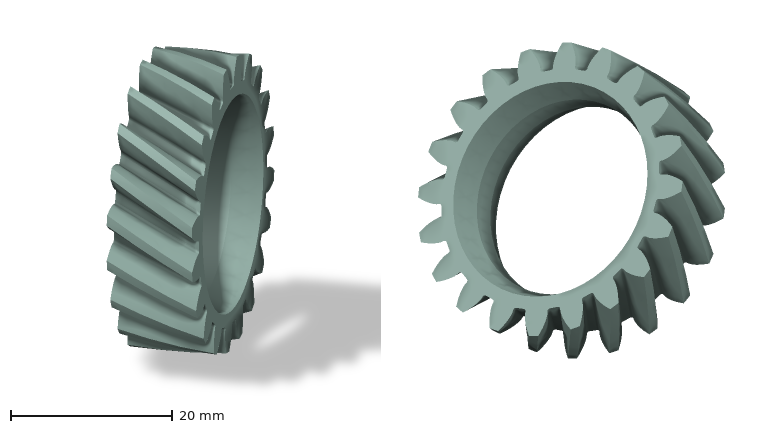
import cadquery as cq
import math

TEETH = 20
WIDTH = 11.0
OUTER_RADIUS = 18.82
PITCH_RADIUS = 17.3
ROOT_RADIUS = 15.45
ROOT_FILLET = 0.35
HELIX_ANGLE = 28.6
NORMAL_PRESSURE_ANGLE = 20.0

BORE_RADIUS = 12.5
MOUTH_RADIUS = 13.78
MOUTH_DEPTH = 3.75

FLANK_STEPS = 5
CUTTER_MARGIN = 0.38

pressure_angle = math.atan(
    math.tan(math.radians(NORMAL_PRESSURE_ANGLE)) / math.cos(math.radians(HELIX_ANGLE))
)
base_radius = PITCH_RADIUS * math.cos(pressure_angle)
pitch_half_gap = math.pi / (2 * TEETH)
twist_angle = math.degrees(WIDTH * math.tan(math.radians(HELIX_ANGLE)) / PITCH_RADIUS)


def involute(angle):
    return math.tan(angle) - angle


def half_gap(radius):
    """Half the angle between two facing involute flanks at the given radius."""
    flank_angle = math.acos(base_radius / radius)
    return pitch_half_gap + involute(flank_angle) - involute(pressure_angle)


def polar(radius, angle):
    """Point in the gear's cross-section, with the angle measured from +Z toward +Y."""
    return (radius * math.sin(angle), radius * math.cos(angle))


def flank_points():
    """+Y side of a gap: radial from the fillet to the base circle, then involute past the tip."""
    step = (OUTER_RADIUS + CUTTER_MARGIN - base_radius) / FLANK_STEPS
    radii = [base_radius + i * step for i in range(FLANK_STEPS + 1)]
    foot = polar(ROOT_RADIUS + ROOT_FILLET, half_gap(base_radius))
    return [foot] + [polar(radius, half_gap(radius)) for radius in radii]


def fillet_points():
    """Start and middle of the root fillet that ends at the foot of the +Y flank."""
    centre_radius = ROOT_RADIUS + ROOT_FILLET
    centre_angle = half_gap(base_radius) - ROOT_FILLET / centre_radius
    centre_y, centre_z = polar(centre_radius, centre_angle)
    offset_y, offset_z = polar(ROOT_FILLET, centre_angle + 3 * math.pi / 4)
    return polar(ROOT_RADIUS, centre_angle), (centre_y + offset_y, centre_z + offset_z)


def mirrored(points):
    """The same points on the -Y side, in reverse order."""
    return [(-y, z) for y, z in reversed(points)]


def tooth_gap():
    """Twisted cutter for the gap centred on +Z at the X = 0 face."""
    right_flank = flank_points()
    left_flank = mirrored(right_flank)
    right_root, right_middle = fillet_points()
    left_middle, left_root = mirrored([right_root, right_middle])
    return (
        cq.Workplane("YZ")
        .moveTo(*right_root)
        .threePointArc(right_middle, right_flank[0])
        .spline(right_flank[1:], includeCurrent=True)
        .lineTo(*left_flank[0])
        .spline(left_flank[1:], includeCurrent=True)
        .threePointArc(left_middle, left_root)
        .threePointArc((0, ROOT_RADIUS), right_root)
        .close()
        .twistExtrude(WIDTH, twist_angle)
    )


def bored_blank():
    """Revolved ring with a waisted bore, profile drawn as (X, radius)."""
    return (
        cq.Workplane("XY")
        .polyline(
            [
                (0, MOUTH_RADIUS),
                (MOUTH_DEPTH, BORE_RADIUS),
                (WIDTH - MOUTH_DEPTH, BORE_RADIUS),
                (WIDTH, MOUTH_RADIUS),
                (WIDTH, OUTER_RADIUS),
                (0, OUTER_RADIUS),
            ]
        )
        .close()
        .revolve(360, (0, 0, 0), (1, 0, 0))
    )


gap = tooth_gap()
result = bored_blank()
for index in range(TEETH):
    result = result.cut(gap.rotate((0, 0, 0), (1, 0, 0), index * 360 / TEETH))